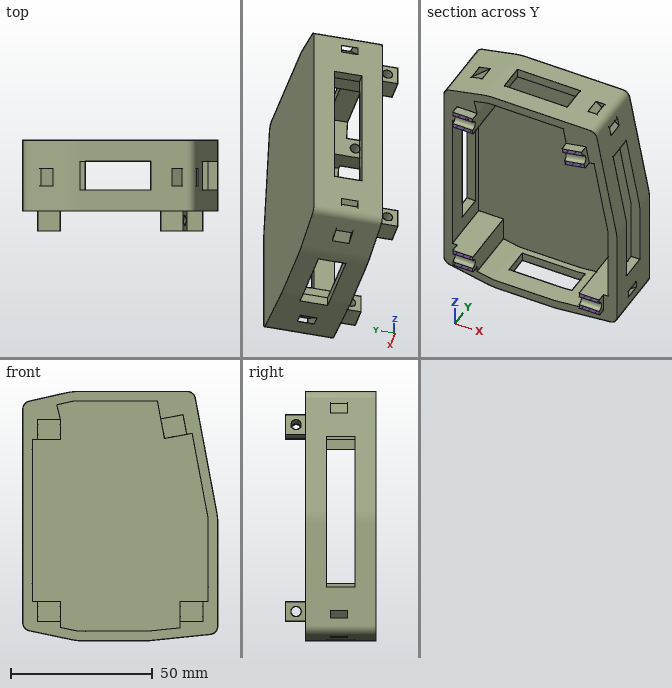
import cadquery as cq
import math

width = 68.8
height = 88.0
depth = 25.0
wall = 3.4
floor_thickness = 5.0
corner_radius = 3.0
bend_radius = 20.0

top_bend_x = 17.4
left_top_z = 84.0
top_right_x = 60.5
right_bend_z = 43.6
right_bottom_z = 2.55
bottom_right_bend_x = 44.1
bottom_left_bend_x = 19.3
left_bottom_z = 4.05
lean_angle = math.degrees(math.atan2(width - top_right_x, height - right_bend_z))

lug_length = 8.0
lug_height = 7.0
lug_reach = 7.0
lug_inset = 5.3
lower_lug_z = 6.9
upper_lug_z = 71.0
leaning_lug_x = 50.0
leaning_lug_z = 71.4
lug_hole_diameter = 3.5
lug_hole_reach = 3.3
block_shoulder_x = 12.1
block_shoulder_z = 83.25

window_width = 10.0
side_window_bottom = 20.3
side_window_top = 67.5
leaning_window_bottom = 19.1
leaning_window_top = 72.2
end_window_length = 25.0
top_window_x = 20.15
bottom_window_x = 22.1

strap_width = 6.1
strap_front_y = 8.9
strap_run = 17.6
strap_tunnels = [
    (0, 76.7, 2.9, 0.91, 1),
    (0, 10.8, -2.6, -0.75, 1),
    (width, 10.8, -2.6, -0.75, -1),
    (61.95, 80.3, 2.8, 0.83, -1),
]

overrun = 2.6


def prism(points, front_y, back_y):
    """Extrude an XZ outline from front_y to back_y."""
    outline = cq.Workplane("XZ", origin=(0, front_y, 0)).polyline(points).close()
    return outline.extrude(front_y - back_y)


def box(x0, x1, y0, y1, z0, z1):
    return cq.Workplane("XY").box(x1 - x0, y1 - y0, z1 - z0, centered=False).translate((x0, y0, z0))


def round_edge(body, x, z, radius):
    """Round the edge along Y that passes through (x, z)."""
    return body.edges(cq.selectors.NearestToPointSelector((x, depth / 2, z))).fillet(radius)


corners = [
    (0, left_top_z),
    (top_right_x, height),
    (width, right_bottom_z),
    (0, left_bottom_z),
]
bends = [
    (top_bend_x, height),
    (width, right_bend_z),
    (bottom_right_bend_x, 0),
    (bottom_left_bend_x, 0),
]
outline = [
    corners[0], bends[0], corners[1], bends[1],
    corners[2], bends[2], bends[3], corners[3],
]


def make_envelope_and_cavity():
    body = prism(outline, 0, depth)
    for x, z in corners:
        body = round_edge(body, x, z, corner_radius)
    for x, z in bends:
        body = round_edge(body, x, z, bend_radius)
    cavity_outline = cq.Workplane("XZ").polyline(outline).close().offset2D(-wall, "intersection")
    cavity = cavity_outline.extrude(floor_thickness - depth)
    return body, cavity


def lean(body):
    """Turn a body parallel to the leaning wall about the leaning lug's lower left corner."""
    pivot = (leaning_lug_x, 0, leaning_lug_z)
    return body.rotate(pivot, (leaning_lug_x, -1, leaning_lug_z), lean_angle)


def make_blocks():
    """Masses that stay solid inside the four corners of the cavity."""
    left_block_x = lug_inset + lug_length
    right_block_x = width - lug_inset - lug_length
    block_top = lower_lug_z + lug_height
    lower_left = box(0, left_block_x, 0, depth, 0, block_top)
    lower_right = box(right_block_x, width, 0, depth, 0, block_top)
    upper_left = prism(
        [
            (0, upper_lug_z),
            (left_block_x, upper_lug_z),
            (left_block_x, upper_lug_z + lug_height),
            (block_shoulder_x, block_shoulder_z),
            (block_shoulder_x, height),
            (0, height),
        ],
        0, depth,
    )
    upper_right = lean(box(leaning_lug_x, width, 0, depth, leaning_lug_z, height + overrun))
    return [lower_left, lower_right, upper_left, upper_right]


def make_lug(x, z):
    """Lug with its hole along X, overlapping the block behind it."""
    lug = box(x, x + lug_length, -lug_reach, overrun, z, z + lug_height)
    hole = cq.Workplane("YZ", origin=(x, -lug_hole_reach, z + lug_height / 2))
    return lug.cut(hole.circle(lug_hole_diameter / 2).extrude(lug_length))


def cut_windows(body):
    y0 = (depth - window_width) / 2
    y1 = y0 + window_width
    middle = width / 2
    top_end = top_window_x + end_window_length
    bottom_end = bottom_window_x + end_window_length
    reach = 2 * wall
    body = body.cut(box(0, wall, y0, y1, side_window_bottom, side_window_top))
    body = body.cut(box(middle, width, y0, y1, leaning_window_bottom, leaning_window_top))
    body = body.cut(box(top_window_x, top_end, y0, y1, height - reach, height))
    return body.cut(box(bottom_window_x, bottom_end, y0, y1, 0, reach))


def cut_strap_tunnel(body, x, z, rise, slope, direction):
    """Diagonal tunnel from a side wall: (x, z) is the entry's edge nearest mid-height."""
    x0 = x - direction * overrun
    x1 = x + direction * strap_run
    z0 = z - slope * overrun
    z1 = z + slope * strap_run
    tunnel = prism(
        [(x0, z0), (x1, z1), (x1, z1 + rise), (x0, z0 + rise)],
        strap_front_y, strap_front_y + strap_width,
    )
    return body.cut(tunnel)


envelope, cavity = make_envelope_and_cavity()
for block in make_blocks():
    cavity = cavity.cut(block)
result = envelope.cut(cavity)

for lug_x, lug_z in [
    (lug_inset, lower_lug_z),
    (width - lug_inset - lug_length, lower_lug_z),
    (lug_inset, upper_lug_z),
]:
    result = result.union(make_lug(lug_x, lug_z))
result = result.union(lean(make_lug(leaning_lug_x, leaning_lug_z)))

result = cut_windows(result)
for tunnel in strap_tunnels:
    result = cut_strap_tunnel(result, *tunnel)